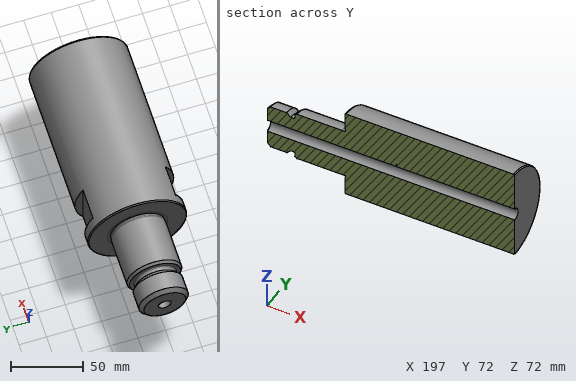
import cadquery as cq

length = 197
body_diameter = 72.0
shank_diameter = 40.0
nose_diameter = 36.0
neck_diameter = 30.3
bore_diameter = 9.3

body_start = 61.9
body_chamfer_length = 1.0
body_chamfer_depth = 0.5

nose_chamfer_length = 2.8
nose_end = 15.5
neck_start = 18.7
shank_start = 21.9
neck_fillet = 0.5
shank_chamfer_length = 2.0
shank_chamfer_depth = 1.4

relief_length = 2.2
relief_ramp = 1.2
relief_depth = 0.2
relief_outer_diameter = 43.7

flat_start = 69.5
flat_length = 22.7
across_flats = 59.9

body_radius = body_diameter / 2
shank_radius = shank_diameter / 2
nose_radius = nose_diameter / 2
neck_radius = neck_diameter / 2
relief_outer_radius = relief_outer_diameter / 2
relief_start = body_start - relief_length
relief_floor_radius = shank_radius - relief_depth


def turned_body():
    """Revolve the half outline about the X axis."""
    profile = (
        cq.Workplane("XY")
        .moveTo(0, 0)
        .lineTo(0, neck_radius)
        .lineTo(nose_chamfer_length, nose_radius)
        .lineTo(nose_end, nose_radius)
        .lineTo(neck_start, neck_radius)
        .lineTo(shank_start - neck_fillet, neck_radius)
        .radiusArc((shank_start, neck_radius + neck_fillet), -neck_fillet)
        .lineTo(shank_start, shank_radius - shank_chamfer_depth)
        .lineTo(shank_start + shank_chamfer_length, shank_radius)
        .lineTo(relief_start, shank_radius)
        .lineTo(relief_start + relief_ramp, relief_floor_radius)
        .lineTo(body_start + relief_depth, relief_floor_radius)
        .lineTo(body_start, relief_outer_radius)
        .lineTo(body_start, body_radius - body_chamfer_depth)
        .lineTo(body_start + body_chamfer_length, body_radius)
        .lineTo(length - body_chamfer_length, body_radius)
        .lineTo(length, body_radius - body_chamfer_depth)
        .lineTo(length, 0)
        .close()
    )
    return profile.revolve(360, (0, 0, 0), (1, 0, 0))


def flat_cutter(side):
    """Block that removes the body beyond one flat; side is +1 or -1 along Y."""
    block_center = side * (across_flats + body_diameter) / 2
    return (
        cq.Workplane("XY")
        .box(flat_length, body_diameter, body_diameter)
        .translate((flat_start + flat_length / 2, block_center, 0))
    )


part = turned_body()
for side in (-1, 1):
    part = part.cut(flat_cutter(side))

bore = cq.Workplane("YZ").circle(bore_diameter / 2).extrude(length)
result = part.cut(bore)